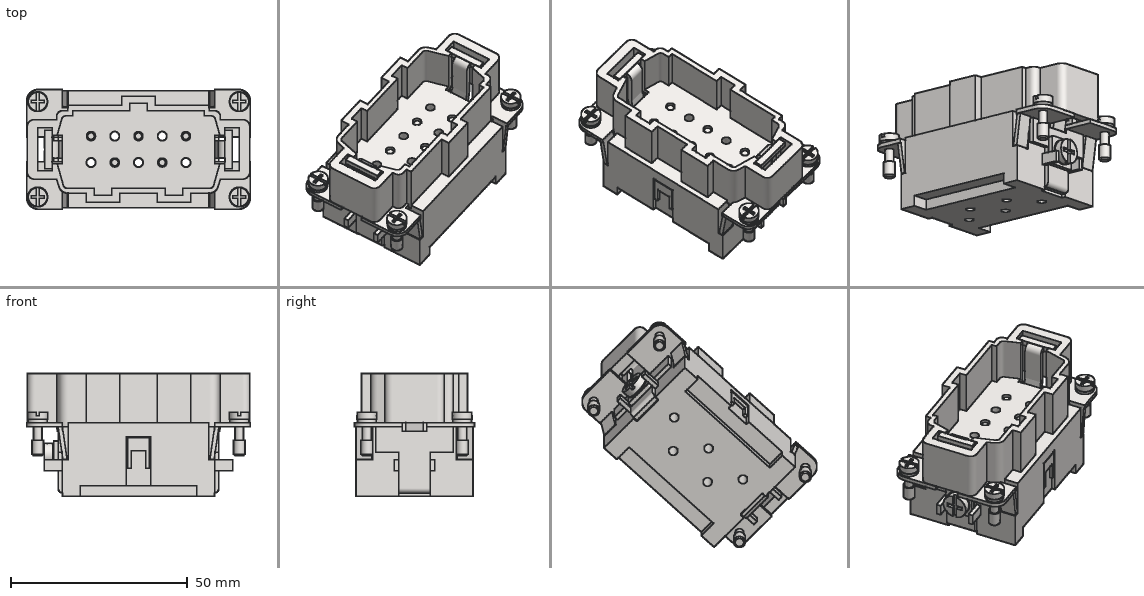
import cadquery as cq

TOTAL_HEIGHT = 34.9
FLANGE_TOP = 20.85
FLANGE_BOTTOM = 19.65
FLANGE_HALF_X = 31.7
FLANGE_HALF_Y = 17.0
FLANGE_CORNER_RADIUS = 3.35
CAVITY_FLOOR = 22.2

BODY_HALF_X = 21.55
BODY_HALF_Y = 16.6
END_FACE_X = 22.75
PAD_HALF_Y = 11.0
STRIP_HALF_Y = 4.45
STRIP_BOTTOM = 0.95
PAD_BOTTOM = 12.55
STRIP_FILLET = 1.3

SIDE_NOTCH_HALF_X = 16.55
SIDE_NOTCH_HEIGHT = 3.05
SIDE_NOTCH_DEPTH = 5.1
END_NOTCH_DEPTH = 1.25

RIB_END_X = 26.75
RIB_THICKNESS = 1.25
RIB_BOTTOM = 7.2
RIB_TOP = 10.4

POCKET_INNER_X = 19.9
POCKET_INNER_Y = 11.8
LEG_INNER_Y = 12.1
LEG_LEAN = 1.3
LEG_THICKNESS = 1.2
LEG_BOTTOM = 10.5

LATCH_RECESS_HALF_X = 3.5
LATCH_RECESS_TOP = 16.9
LATCH_RECESS_DEPTH = 1.0
LATCH_GAP = 0.4
LATCH_HALF_X = LATCH_RECESS_HALF_X - LATCH_GAP
LATCH_TOP = LATCH_RECESS_TOP - LATCH_GAP
LATCH_BOTTOM = 7.9
LATCH_THICKNESS = 0.9
LATCH_OPENING_HALF_X = 2.1
LATCH_OPENING_TOP = 12.9

SHELL_END_X = 31.5
SHELL_END_HALF_Y = 8.45
SHELL_END_RADIUS = 2.0
SHELL_NECK_X = 23.2
SHELL_FRONT_Y = -12.4
SHELL_ARC_START = (22.5, -10.65)
SHELL_ARC_END_X = 20.1
SHELL_BACK_Y = 12.55
SHELL_STEP_X = 20.0
SHELL_STEP_Y = 10.95
SHELL_BACK_RADIUS = 1.8
KEY_OUTER_Y = 15.0
KEY_OUTER_HALF_X = 4.75
KEY_INNER_Y = 13.0
KEY_INNER_HALF_X = 2.5
FRONT_KEY_X = 10.1

CAVITY_FRONT_Y = -11.0
CAVITY_FRONT_X = 21.05
CAVITY_BACK_Y = 9.45
CAVITY_BACK_X = 21.5
CAVITY_END_X = 23.0
CAVITY_STEP_X = 18.6
CAVITY_STEP_Y = 10.95
CAVITY_RADIUS = 1.15

CLIP_MOUTH_HALF_Y = 4.05
CLIP_SLOT_INNER_X = 24.5
CLIP_SLOT_OUTER_X = 28.45
CLIP_SLOT_HALF_Y = 6.1
CLIP_WINDOW_HALF_Y = 3.5
CLIP_WINDOW_BOTTOM = 18.45
CLIP_TOP = 34.55
CLIP_BAR_TOP = 34.75
CLIP_THICKNESS = 1.4
CLIP_HALF_Y = 2.5
CLIP_FACE_X = 22.6
CLIP_FOOT_TOP = 23.45
CLIP_BAR_END_X = 26.55
CLIP_BAR_HALF_Y = 5.45

CONTACT_PITCH = 6.7
CONTACT_ROW_Y = 3.75
CONTACT_COLUMNS = 5
CONTACT_RADIUS = 1.25
PIN_RADIUS = 0.95
PIN_TOP_DEPTH = 0.65
PIN_GAP_DEPTH = 3.2

SCREW_X = 28.5
SCREW_Y = 13.5
SCREW_HEAD_RADIUS = 2.8
SCREW_HEAD_TOP = 23.85
WASHER_RADIUS = 2.65
WASHER_TOP = 21.8
SHANK_RADIUS = 1.25
TIP_RADIUS = 1.65
TIP_TOP = 15.9
TIP_BOTTOM = 11.55
TIP_CHAMFER = 0.45
CROSS_WIDTH = 0.75
CROSS_DEPTH = 0.95
CROSS_ARM = 1.85

EARTH_Z = 11.55
EARTH_PLATE_HALF_Y = 4.1
EARTH_PLATE_HALF_Z = 4.2
EARTH_PLATE_X = 24.0
EARTH_PLATE_RADIUS = 0.5
EARTH_NECK_RADIUS = 3.3
EARTH_NECK_X = 24.35
EARTH_HEAD_RADIUS = 3.55
EARTH_HEAD_X = 26.75
EARTH_CROSS_WIDTH = 1.0
EARTH_CROSS_ARM = 2.35


def block(x0, x1, y0, y1, z0, z1):
    """Box given by its limits along each axis."""
    return cq.Workplane("XY").box(x1 - x0, y1 - y0, z1 - z0, centered=False).translate((x0, y0, z0))


def disc(x, y, z0, z1, radius):
    """Upright cylinder between two heights."""
    return cq.Workplane("XY").workplane(offset=z0).center(x, y).circle(radius).extrude(z1 - z0)


def both_ends(shape):
    """A shape together with its mirror image at the other X end."""
    return shape.union(shape.mirror("YZ"))


def four_corners(shape):
    """A shape repeated at all four corners."""
    pair = both_ends(shape)
    return pair.union(pair.mirror("XZ"))


def make_body():
    body = block(-BODY_HALF_X, BODY_HALF_X, -BODY_HALF_Y, BODY_HALF_Y, 0, FLANGE_TOP)

    pad = block(-END_FACE_X, END_FACE_X, -PAD_HALF_Y, PAD_HALF_Y, PAD_BOTTOM, FLANGE_TOP)
    strip = block(-END_FACE_X, END_FACE_X, -STRIP_HALF_Y, STRIP_HALF_Y, STRIP_BOTTOM, FLANGE_TOP)
    strip = strip.faces("<Z").edges("|Y").fillet(STRIP_FILLET)
    body = body.union(pad).union(strip)

    rib_outer_y = STRIP_HALF_Y + RIB_THICKNESS
    for y in (-rib_outer_y, STRIP_HALF_Y):
        body = body.union(block(-RIB_END_X, RIB_END_X, y, y + RIB_THICKNESS, RIB_BOTTOM, RIB_TOP))

    side_notch = block(-SIDE_NOTCH_HALF_X, SIDE_NOTCH_HALF_X, -BODY_HALF_Y, SIDE_NOTCH_DEPTH - BODY_HALF_Y,
                       0, SIDE_NOTCH_HEIGHT)
    end_notch = block(BODY_HALF_X - END_NOTCH_DEPTH, BODY_HALF_X, -STRIP_HALF_Y, STRIP_HALF_Y,
                      0, STRIP_BOTTOM)
    body = body.cut(side_notch).cut(side_notch.mirror("XZ")).cut(both_ends(end_notch))

    pocket = block(POCKET_INNER_X, BODY_HALF_X, POCKET_INNER_Y, BODY_HALF_Y, RIB_TOP, FLANGE_TOP)
    return body.cut(four_corners(pocket))


def make_latch_recess():
    """Recess in the front face, less the U-shaped latch standing in it."""
    floor_y = -BODY_HALF_Y + LATCH_RECESS_DEPTH
    recess = block(-LATCH_RECESS_HALF_X, LATCH_RECESS_HALF_X, -BODY_HALF_Y, floor_y,
                   SIDE_NOTCH_HEIGHT, LATCH_RECESS_TOP)
    latch_y = floor_y - LATCH_THICKNESS
    latch = block(-LATCH_HALF_X, LATCH_HALF_X, latch_y, floor_y, LATCH_BOTTOM, LATCH_TOP)
    opening = block(-LATCH_OPENING_HALF_X, LATCH_OPENING_HALF_X, latch_y, floor_y,
                    LATCH_BOTTOM, LATCH_OPENING_TOP)
    return recess.cut(latch.cut(opening))


def make_flange():
    plate = block(-FLANGE_HALF_X, FLANGE_HALF_X, -FLANGE_HALF_Y, FLANGE_HALF_Y, FLANGE_BOTTOM, FLANGE_TOP)
    plate = plate.edges("|Z").fillet(FLANGE_CORNER_RADIUS)
    middle = block(-BODY_HALF_X, BODY_HALF_X, -FLANGE_HALF_Y, FLANGE_HALF_Y, FLANGE_BOTTOM, FLANGE_TOP)

    root_x = BODY_HALF_X + LEG_THICKNESS
    tip_x = BODY_HALF_X - LEG_LEAN
    leg = (
        cq.Workplane("XZ", origin=(0, BODY_HALF_Y, 0))
        .moveTo(BODY_HALF_X, FLANGE_TOP)
        .lineTo(BODY_HALF_X, FLANGE_BOTTOM)
        .lineTo(tip_x, LEG_BOTTOM)
        .lineTo(tip_x + LEG_THICKNESS, LEG_BOTTOM)
        .lineTo(root_x, FLANGE_BOTTOM)
        .lineTo(root_x, FLANGE_TOP)
        .close()
        .extrude(BODY_HALF_Y - LEG_INNER_Y)
    )
    return plate.cut(middle).union(four_corners(leg))


def make_shell():
    """Outer wall of the plug, solid, from the flange upward."""
    outline = (
        cq.Workplane("XY").workplane(offset=FLANGE_BOTTOM)
        .moveTo(0, SHELL_BACK_Y)
        .lineTo(SHELL_STEP_X, SHELL_BACK_Y)
        .lineTo(SHELL_STEP_X, SHELL_STEP_Y)
        .lineTo(SHELL_NECK_X - SHELL_BACK_RADIUS, SHELL_STEP_Y)
        .radiusArc((SHELL_NECK_X, SHELL_STEP_Y - SHELL_BACK_RADIUS), SHELL_BACK_RADIUS)
        .lineTo(SHELL_NECK_X, -SHELL_END_HALF_Y)
        .lineTo(*SHELL_ARC_START)
        .tangentArcPoint((SHELL_ARC_END_X, SHELL_FRONT_Y), relative=False)
        .lineTo(0, SHELL_FRONT_Y)
        .close()
    )
    shell = both_ends(outline.extrude(TOTAL_HEIGHT - FLANGE_BOTTOM))

    ends = block(-SHELL_END_X, SHELL_END_X, -SHELL_END_HALF_Y, SHELL_END_HALF_Y, FLANGE_BOTTOM, TOTAL_HEIGHT)
    shell = shell.union(ends.edges("|Z").fillet(SHELL_END_RADIUS))

    shell = shell.union(block(-KEY_OUTER_HALF_X, KEY_OUTER_HALF_X, 0, KEY_OUTER_Y, FLANGE_TOP, TOTAL_HEIGHT))
    for x in (-FRONT_KEY_X, FRONT_KEY_X):
        key = block(x - KEY_OUTER_HALF_X, x + KEY_OUTER_HALF_X, -KEY_OUTER_Y, 0, FLANGE_TOP, TOTAL_HEIGHT)
        shell = shell.union(key)
    return shell


def make_cavity():
    core = (
        cq.Workplane("XY").workplane(offset=CAVITY_FLOOR)
        .polyline([
            (-CAVITY_FRONT_X, CAVITY_FRONT_Y),
            (CAVITY_FRONT_X, CAVITY_FRONT_Y),
            (CAVITY_END_X, -CLIP_MOUTH_HALF_Y),
            (CAVITY_END_X, CLIP_MOUTH_HALF_Y),
            (CAVITY_BACK_X, CAVITY_BACK_Y),
            (-CAVITY_BACK_X, CAVITY_BACK_Y),
            (-CAVITY_END_X, CLIP_MOUTH_HALF_Y),
            (-CAVITY_END_X, -CLIP_MOUTH_HALF_Y),
        ])
        .close()
        .extrude(TOTAL_HEIGHT - CAVITY_FLOOR)
    )
    core = core.faces("<Y or >Y").edges("|Z").fillet(CAVITY_RADIUS)
    cavity = core.union(block(-CAVITY_STEP_X, CAVITY_STEP_X, 0, CAVITY_STEP_Y, CAVITY_FLOOR, TOTAL_HEIGHT))

    back_key = block(-KEY_INNER_HALF_X, KEY_INNER_HALF_X, 0, KEY_INNER_Y, CAVITY_FLOOR, TOTAL_HEIGHT)
    cavity = cavity.union(back_key)
    for x in (-FRONT_KEY_X, FRONT_KEY_X):
        key = block(x - KEY_INNER_HALF_X, x + KEY_INNER_HALF_X, -KEY_INNER_Y, 0, CAVITY_FLOOR, TOTAL_HEIGHT)
        cavity = cavity.union(key)
    return cavity


def make_clip_openings():
    """Mouth, T slot and lower window for the spring clip at each end."""
    mouth = block(BODY_HALF_X, CLIP_SLOT_OUTER_X, -CLIP_MOUTH_HALF_Y, CLIP_MOUTH_HALF_Y,
                  FLANGE_TOP, TOTAL_HEIGHT)
    slot = block(CLIP_SLOT_INNER_X, CLIP_SLOT_OUTER_X, -CLIP_SLOT_HALF_Y, CLIP_SLOT_HALF_Y,
                 FLANGE_TOP, TOTAL_HEIGHT)
    window = block(BODY_HALF_X, FLANGE_HALF_X, -CLIP_WINDOW_HALF_Y, CLIP_WINDOW_HALF_Y,
                   CLIP_WINDOW_BOTTOM, FLANGE_TOP)
    return both_ends(mouth.union(slot).union(window))


def make_clips():
    """Upright spring strips that curl outward into a cross bar at the top."""
    curl_radius = CLIP_SLOT_INNER_X - CLIP_FACE_X
    curl_z = CLIP_TOP - curl_radius
    back_x = CLIP_FACE_X + CLIP_THICKNESS
    under_z = CLIP_TOP - CLIP_THICKNESS
    strip = (
        cq.Workplane("XZ")
        .moveTo(BODY_HALF_X, CLIP_WINDOW_BOTTOM)
        .lineTo(CLIP_FACE_X, CLIP_FOOT_TOP)
        .lineTo(CLIP_FACE_X, curl_z)
        .radiusArc((CLIP_SLOT_INNER_X, CLIP_TOP), curl_radius)
        .lineTo(CLIP_BAR_END_X, CLIP_TOP)
        .lineTo(CLIP_BAR_END_X, under_z)
        .lineTo(CLIP_SLOT_INNER_X, under_z)
        .radiusArc((back_x, curl_z), CLIP_THICKNESS - curl_radius)
        .lineTo(back_x, CLIP_FOOT_TOP)
        .lineTo(BODY_HALF_X + CLIP_THICKNESS, CLIP_WINDOW_BOTTOM)
        .close()
        .extrude(CLIP_HALF_Y, both=True)
    )
    bar = block(CLIP_SLOT_INNER_X, CLIP_BAR_END_X, -CLIP_BAR_HALF_Y, CLIP_BAR_HALF_Y,
                under_z, CLIP_BAR_TOP)
    return both_ends(strip.union(bar))


def make_contacts():
    """Open bores and bores with a pin inside, alternating along both rows."""
    bores = cq.Workplane("XY")
    for column in range(CONTACT_COLUMNS):
        x = (column - (CONTACT_COLUMNS - 1) / 2) * CONTACT_PITCH
        open_y = -CONTACT_ROW_Y if column % 2 == 0 else CONTACT_ROW_Y
        pin_y = -open_y
        gap_bottom = CAVITY_FLOOR - PIN_GAP_DEPTH
        gap = disc(x, pin_y, gap_bottom, CAVITY_FLOOR, CONTACT_RADIUS)
        pin = disc(x, pin_y, gap_bottom, CAVITY_FLOOR - PIN_TOP_DEPTH, PIN_RADIUS)
        bores = bores.union(disc(x, open_y, 0, CAVITY_FLOOR, CONTACT_RADIUS)).union(gap.cut(pin))
    return bores


def make_screw():
    """Captive screw with a slotted cross head, standing on the origin axis."""
    screw = disc(0, 0, WASHER_TOP, SCREW_HEAD_TOP, SCREW_HEAD_RADIUS)
    screw = screw.union(disc(0, 0, FLANGE_TOP, WASHER_TOP, WASHER_RADIUS))
    screw = screw.union(disc(0, 0, TIP_TOP, WASHER_TOP, SHANK_RADIUS))
    screw = screw.union(disc(0, 0, TIP_BOTTOM, TIP_TOP, TIP_RADIUS).faces("<Z").chamfer(TIP_CHAMFER))
    half_width = CROSS_WIDTH / 2
    cross_bottom = SCREW_HEAD_TOP - CROSS_DEPTH
    slot = block(-half_width, half_width, -SCREW_HEAD_RADIUS, SCREW_HEAD_RADIUS, cross_bottom, SCREW_HEAD_TOP)
    arm = block(-CROSS_ARM, CROSS_ARM, -half_width, half_width, cross_bottom, SCREW_HEAD_TOP)
    return screw.cut(slot).cut(arm)


def make_earth_terminal():
    """Square plate and cross-head screw on the -X end."""
    plate = block(-EARTH_PLATE_X, -END_FACE_X, -EARTH_PLATE_HALF_Y, EARTH_PLATE_HALF_Y,
                  EARTH_Z - EARTH_PLATE_HALF_Z, EARTH_Z + EARTH_PLATE_HALF_Z)
    plate = plate.edges("|X").fillet(EARTH_PLATE_RADIUS)
    end_plane = cq.Workplane("YZ", origin=(-EARTH_HEAD_X, 0, EARTH_Z))
    neck = end_plane.circle(EARTH_NECK_RADIUS).extrude(EARTH_HEAD_X - EARTH_PLATE_X)
    head = end_plane.circle(EARTH_HEAD_RADIUS).extrude(EARTH_HEAD_X - EARTH_NECK_X)
    cross = end_plane.rect(EARTH_CROSS_WIDTH, 2 * EARTH_HEAD_RADIUS).extrude(CROSS_DEPTH)
    cross = cross.union(end_plane.rect(2 * EARTH_CROSS_ARM, EARTH_CROSS_WIDTH).extrude(CROSS_DEPTH))
    return plate.union(neck).union(head).cut(cross)


result = make_body().cut(make_latch_recess())
result = result.union(make_flange()).union(make_shell())
result = result.cut(make_cavity()).cut(make_clip_openings()).cut(make_contacts())
result = result.union(make_clips()).union(make_earth_terminal())
result = result.union(four_corners(make_screw().translate((SCREW_X, SCREW_Y, 0))))